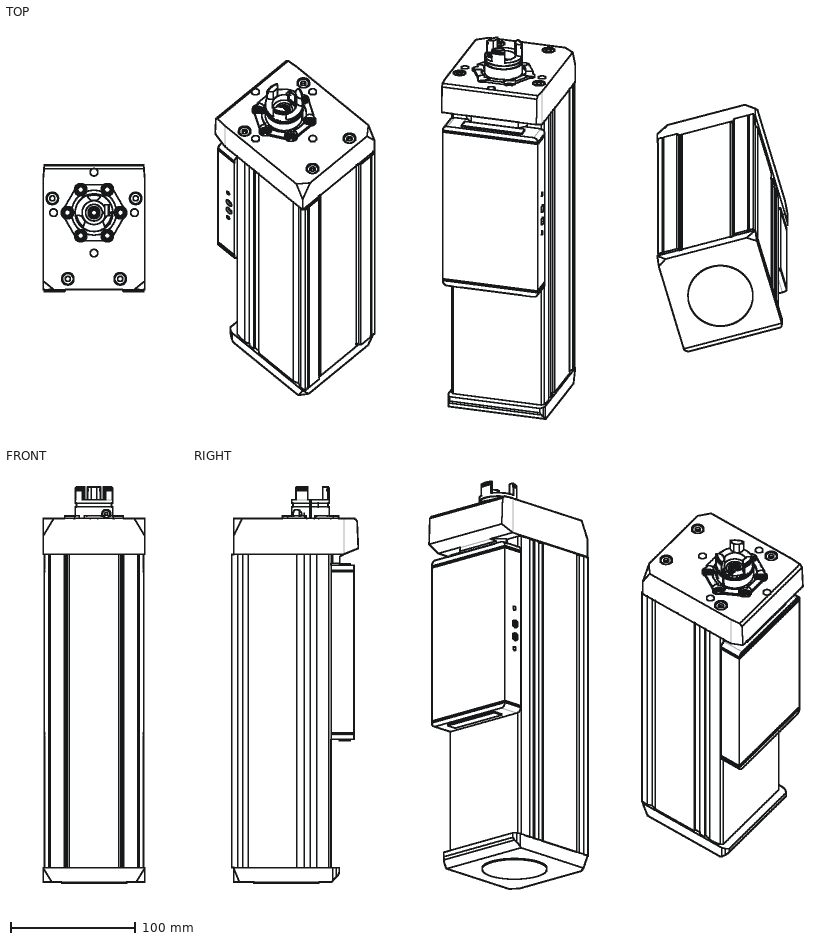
import cadquery as cq
import math


TOTAL_HEIGHT = 319.5
FOOT_PAD_HEIGHT = 1.0
PROFILE_BOTTOM = 12.8
PROFILE_TOP = 265.0
HEAD_TOP = 294.2

PROFILE_HALF_WIDTH = 40.0
PROFILE_FRONT = -63.5
PROFILE_BACK = 16.5
BACK_HALF_WIDTH = 37.0
BACK_CHAMFER = 2.0
SLOT_DEPTH = 1.5
SLOPED_SLOT = (5.0, -0.3)
SQUARE_SLOT = (-5.0, -11.0)
SIDE_GROOVE_START = -50.0
SIDE_GROOVE_BOTTOM = -54.5
SIDE_GROOVE_END = -58.5
FRONT_GROOVE_OUTER = 36.5
FRONT_GROOVE_INNER = 35.0
FRONT_SLOT_OUTER = 24.0
FRONT_SLOT_INNER = 20.0
FRONT_SLOT_DEPTH = 3.8
FRONT_SLOT_CHAMFER = 1.3

CAP_HALF_WIDTH = 82.0 / 2
CAP_FRONT = -62.0
HEAD_BACK = 38.5
HEAD_TAPER_START = 26.8
HEAD_TAPER = 1.0
HEAD_LIP_RISE = 4.8
HEAD_BACK_LEAN = 1.0
HEAD_BACK_CHAMFER = 2.2
HEAD_CORNER_CUT = (8.5, 7.0, 14.5)
FOOT_CORNER_CUT = (7.0, 4.8, 11.5)
FOOT_BACK = 23.3
FOOT_BACK_FLAT = 3.8
FOOT_BACK_STEP = 1.0
FOOT_BEVEL_TOP = 6.7
FOOT_BEVEL_END = 17.0
FOOT_CORNER_FACETS = [(0.0, 5.5), (1.0, 2.5), (3.0, 0.0)]
FOOT_PAD_DIAMETER = 52.5
FOOT_PAD_Y = -19.5
STOP_HALF_WIDTH = 25.5
STOP_BOTTOM = 257.8
STOP_BACK = 23.5
STOP_BEVEL = 2.0
STOP_CHAMFER = 5.7

DOWEL_HOLE_COUNT = 4
DOWEL_HOLE_CIRCLE = 32.5
DOWEL_HOLE_DIAMETER = 6.0
DOWEL_HOLE_DEPTH = 8.0
DRILL_POINT_ANGLE = 118.0
SCREW_RECESS_DIAMETER = 10.0
SCREW_RECESS_DEPTH = 5.0
SCREW_HEAD_DIAMETER = 8.5
SCREW_HEAD_HEIGHT = 4.5
SCREW_SHANK_DIAMETER = 5.0
SCREW_LENGTH = 19.2
SOCKET_DIAMETER = 4.0
SOCKET_DEPTH = 2.5
HEAD_SCREW_PLACES = [(-33.5, 11.5), (33.5, 11.5), (-21.0, -53.3), (21.0, -53.3)]

RIM_FLATS = 45.5
RIM_BORE_DIAMETER = 36.0
RIM_HEIGHT = 2.0
RIM_HOLE_COUNT = 6
RIM_HOLE_CIRCLE = 21.5
RIM_HOLE_STEPS = [(10.0, 2.5), (8.5, 3.5), (7.0, 4.8), (4.8, 7.0)]

HUB_DIAMETER = 30.5
HUB_TOP = 309.2
HUB_BORE_DIAMETER = 19.2
SHAFT_DIAMETER = 13.5
SHAFT_TOP = 301.8
SHAFT_HOLE_STEPS = [(9.5, 1.3), (7.0, 2.5), (4.5, 3.8)]
HUB_GROOVE_BOTTOM = 303.5
HUB_GROOVE_WIDTH = 3.0
CLAW_GROOVE_BOTTOM = 316.5
CLAW_GROOVE_WIDTH = 1.0
GROOVE_DEPTH = 1.0
CLAW_COUNT = 3
CLAW_INNER_HALF_WIDTH = 2.2
CLAW_INNER_Y = 10.0
CLAW_FLANK_MIDDLE = (4.0, 11.5)
CLAW_FLANK_END = (5.5, 13.7)
CLAW_CHAMFER = 1.0
CLAMP_SLIT_WIDTH = 1.0

CLAMP_X = 10.0
CLAMP_Z = 297.7
CLAMP_RECESS_DIAMETER = 7.0
CLAMP_HEAD_DIAMETER = 6.0
CLAMP_SHANK_DIAMETER = 3.2
CLAMP_SOCKET_DIAMETER = 2.45
CLAMP_SOCKET_DEPTH = 2.0
CLAMP_SEAT_Y = -5.0
CLAMP_HEAD_HEIGHT = 3.8
CLAMP_TIP_Y = 8.3
WINDOW_X = (8.5, 12.5)
WINDOW_Y = (-3.5, 6.5)

CARRIAGE_HALF_WIDTH = 40.2
CARRIAGE_BACK = 35.0
CARRIAGE_BOTTOM = 116.0
CARRIAGE_TOP = 256.5
CARRIAGE_END_LENGTH = 4.0
CARRIAGE_END_RADIUS = 3.8
CARRIAGE_GROOVE_WIDTH = 1.3
CARRIAGE_GROOVE_DEPTH = 0.5
TAB_FRONT = 23.3
TAB_BACK = 32.0
TAB_HEIGHT = 1.0
TAB_HALF_WIDTH = 25.5
LUBE_HOLE_Y = 22.7
LUBE_HOLE_Z = [189.0, 178.2]
LUBE_HOLE_DIAMETER = 6.0
LUBE_HOLE_DEPTH = 2.0
LUBE_CORE_DIAMETER = 3.2
LUBE_CORE_DEPTH = 6.5
SIDE_HOLE_Y = 23.5
SIDE_HOLE_Z = [202.2, 168.0]
SIDE_HOLE_DIAMETER = 3.2
SIDE_HOLE_DEPTH = 4.8


def block(x_range, y_range, z_range):
    """Box between two limits on each axis."""
    size = [high - low for low, high in (x_range, y_range, z_range)]
    corner = (x_range[0], y_range[0], z_range[0])
    return cq.Workplane("XY").box(*size, centered=False).translate(corner)


def disc(diameter, bottom, top, x=0.0, y=0.0):
    """Upright cylinder."""
    return cq.Workplane("XY", origin=(x, y, bottom)).circle(diameter / 2).extrude(top - bottom)


def y_disc(diameter, y_start, y_end, x, z):
    """Cylinder along Y."""
    plane = cq.Plane(origin=(x, y_start, z), xDir=(1, 0, 0), normal=(0, 1, 0))
    return cq.Workplane(plane).circle(diameter / 2).extrude(y_end - y_start)


def x_disc(diameter, x_start, x_end, y, z):
    """Cylinder along X."""
    return cq.Workplane("YZ", origin=(x_start, y, z)).circle(diameter / 2).extrude(x_end - x_start)


def polar_points(radius, count):
    """Points evenly spaced on a circle round the shaft axis, the first on +X."""
    angles = [math.radians(360 / count * i) for i in range(count)]
    return [(radius * math.cos(a), radius * math.sin(a)) for a in angles]


def corner_wedge(side, corner_z, legs, z_direction):
    """Tetrahedron that cuts a front corner of an end cap along a slanted plane."""
    leg_x, leg_y, leg_z = legs
    corner = cq.Vector(side * CAP_HALF_WIDTH, CAP_FRONT, corner_z)
    along_x = corner + cq.Vector(-side * leg_x, 0, 0)
    along_y = corner + cq.Vector(0, leg_y, 0)
    along_z = corner + cq.Vector(0, 0, z_direction * leg_z)
    triangles = [
        (corner, along_x, along_y),
        (corner, along_y, along_z),
        (corner, along_z, along_x),
        (along_x, along_y, along_z),
    ]
    faces = [cq.Face.makeFromWires(cq.Wire.makePolygon(t, close=True)) for t in triangles]
    return cq.Workplane(cq.Solid.makeSolid(cq.Shell.makeShell(faces)))


def make_profile():
    """Extruded profile with slots in both sides and in the front."""
    wide = PROFILE_HALF_WIDTH
    deep = wide - SLOT_DEPTH
    slot_floor = PROFILE_FRONT + FRONT_SLOT_DEPTH
    slot_wall_outer = FRONT_SLOT_OUTER - FRONT_SLOT_CHAMFER
    slot_wall_inner = FRONT_SLOT_INNER + FRONT_SLOT_CHAMFER
    chamfer_end = (BACK_HALF_WIDTH + BACK_CHAMFER, PROFILE_BACK - BACK_CHAMFER)
    half = (
        cq.Workplane("XY", origin=(0, 0, PROFILE_BOTTOM))
        .moveTo(0, CAP_FRONT)
        .lineTo(0, PROFILE_BACK)
        .lineTo(BACK_HALF_WIDTH, PROFILE_BACK)
        .lineTo(*chamfer_end)
    )
    drop = chamfer_end[1] - SLOPED_SLOT[0]
    inset = wide - chamfer_end[0]
    radius = (drop ** 2 + inset ** 2) / (2 * inset)
    half = half.radiusArc((wide, SLOPED_SLOT[0]), radius)
    half = (
        half.lineTo(deep, SLOPED_SLOT[1])
        .lineTo(wide, SLOPED_SLOT[1])
        .lineTo(wide, SQUARE_SLOT[0])
        .lineTo(deep, SQUARE_SLOT[0])
        .lineTo(deep, SQUARE_SLOT[1])
        .lineTo(wide, SQUARE_SLOT[1])
        .lineTo(wide, SIDE_GROOVE_START)
        .lineTo(deep, SIDE_GROOVE_BOTTOM)
        .lineTo(wide, SIDE_GROOVE_END)
        .lineTo(wide, PROFILE_FRONT)
        .lineTo(FRONT_GROOVE_OUTER, PROFILE_FRONT)
        .lineTo(FRONT_GROOVE_OUTER, CAP_FRONT)
        .lineTo(FRONT_GROOVE_INNER, CAP_FRONT)
        .lineTo(FRONT_GROOVE_INNER, PROFILE_FRONT)
        .lineTo(FRONT_SLOT_OUTER, PROFILE_FRONT)
        .lineTo(slot_wall_outer, PROFILE_FRONT + FRONT_SLOT_CHAMFER)
        .lineTo(slot_wall_outer, slot_floor)
        .lineTo(slot_wall_inner, slot_floor)
        .lineTo(slot_wall_inner, CAP_FRONT + FRONT_SLOT_CHAMFER)
        .lineTo(FRONT_SLOT_INNER, CAP_FRONT)
        .close()
        .extrude(PROFILE_TOP - PROFILE_BOTTOM)
    )
    return half.union(half.mirror("YZ"))


def make_rim():
    """Raised hexagonal rim on top of the head, open in the middle."""
    across_corners = RIM_FLATS / math.cos(math.pi / RIM_HOLE_COUNT)
    rim = cq.Workplane("XY", origin=(0, 0, HEAD_TOP)).polygon(RIM_HOLE_COUNT, across_corners)
    return rim.circle(RIM_BORE_DIAMETER / 2).extrude(RIM_HEIGHT)


def head_block():
    """Plain head, with its sides tapered at the back and its front corners cut."""
    top_back = HEAD_BACK - HEAD_BACK_LEAN
    side_outline = [
        (CAP_FRONT, PROFILE_TOP),
        (HEAD_TAPER_START, PROFILE_TOP),
        (HEAD_BACK, PROFILE_TOP + HEAD_LIP_RISE),
        (top_back, HEAD_TOP - HEAD_BACK_CHAMFER),
        (top_back - HEAD_BACK_CHAMFER, HEAD_TOP),
        (CAP_FRONT, HEAD_TOP),
    ]
    back_half_width = CAP_HALF_WIDTH - HEAD_TAPER
    plan_outline = [
        (-CAP_HALF_WIDTH, CAP_FRONT),
        (CAP_HALF_WIDTH, CAP_FRONT),
        (CAP_HALF_WIDTH, HEAD_TAPER_START),
        (back_half_width, HEAD_BACK),
        (-back_half_width, HEAD_BACK),
        (-CAP_HALF_WIDTH, HEAD_TAPER_START),
    ]
    body = cq.Workplane("YZ").polyline(side_outline).close().extrude(CAP_HALF_WIDTH, both=True)
    plan = cq.Workplane("XY").polyline(plan_outline).close().extrude(TOTAL_HEIGHT)
    body = body.intersect(plan)
    for side in (-1, 1):
        body = body.cut(corner_wedge(side, HEAD_TOP, HEAD_CORNER_CUT, -1))
    return body


def make_stop():
    """End stop under the head, behind the profile."""
    outline = [
        (PROFILE_BACK, PROFILE_TOP),
        (HEAD_TAPER_START, PROFILE_TOP),
        (STOP_BACK, PROFILE_TOP - STOP_BEVEL),
        (STOP_BACK, STOP_BOTTOM),
        (PROFILE_BACK, STOP_BOTTOM),
    ]
    stop = cq.Workplane("YZ").polyline(outline).close().extrude(STOP_HALF_WIDTH, both=True)
    width = (-STOP_HALF_WIDTH, STOP_HALF_WIDTH)
    plan = block(width, (PROFILE_BACK, HEAD_TAPER_START), (STOP_BOTTOM, PROFILE_TOP))
    bevel_run = HEAD_TAPER_START - STOP_BACK
    return stop.intersect(plan.edges("|Z and >Y").chamfer(STOP_CHAMFER + bevel_run))


def dowel_hole(x, y):
    """Drilled hole with a conical bottom."""
    radius = DOWEL_HOLE_DIAMETER / 2
    cone_top = HEAD_TOP - DOWEL_HOLE_DEPTH
    tip = cone_top - radius / math.tan(math.radians(DRILL_POINT_ANGLE / 2))
    section = cq.Workplane("XZ").polyline([(0, tip), (radius, cone_top), (radius, HEAD_TOP), (0, HEAD_TOP)])
    return section.close().revolve(360, (0, 0, 0), (0, 1, 0)).translate((x, y, 0))


def make_head():
    """Upper end cap with the end stop, the hexagonal rim and the shaft end."""
    head = head_block().union(make_stop()).union(make_rim())
    rim_top = HEAD_TOP + RIM_HEIGHT
    for x, y in polar_points(RIM_HOLE_CIRCLE, RIM_HOLE_COUNT):
        for diameter, depth in RIM_HOLE_STEPS:
            head = head.cut(disc(diameter, HEAD_TOP - depth, rim_top, x, y))
    for x, y in polar_points(DOWEL_HOLE_CIRCLE, DOWEL_HOLE_COUNT):
        head = head.cut(dowel_hole(x, y))
    for x, y in HEAD_SCREW_PLACES:
        seat = HEAD_TOP - SCREW_RECESS_DEPTH
        head = head.cut(disc(SCREW_RECESS_DIAMETER, seat, HEAD_TOP, x, y))
        head = head.cut(disc(SCREW_SHANK_DIAMETER, seat - SCREW_LENGTH, seat, x, y))
    shaft = disc(SHAFT_DIAMETER, HEAD_TOP, SHAFT_TOP)
    for diameter, depth in SHAFT_HOLE_STEPS:
        shaft = shaft.cut(disc(diameter, SHAFT_TOP - depth, SHAFT_TOP))
    return head.union(shaft)


def make_foot():
    """Lower end cap with a bevelled back edge, cut front corners and a round pad."""
    side_outline = [
        (CAP_FRONT, FOOT_PAD_HEIGHT),
        (FOOT_BEVEL_END, FOOT_PAD_HEIGHT),
        (FOOT_BACK - FOOT_BACK_STEP, FOOT_BEVEL_TOP),
        (FOOT_BACK, PROFILE_BOTTOM - FOOT_BACK_FLAT),
        (FOOT_BACK, PROFILE_BOTTOM),
        (CAP_FRONT, PROFILE_BOTTOM),
    ]
    foot = cq.Workplane("YZ").polyline(side_outline).close().extrude(CAP_HALF_WIDTH, both=True)
    right_corner = [(CAP_HALF_WIDTH - dx, FOOT_BACK - dy) for dx, dy in FOOT_CORNER_FACETS]
    left_corner = [(-x, y) for x, y in reversed(right_corner)]
    front_edge = [(-CAP_HALF_WIDTH, CAP_FRONT), (CAP_HALF_WIDTH, CAP_FRONT)]
    plan = cq.Workplane("XY").polyline(front_edge + right_corner + left_corner).close()
    foot = foot.intersect(plan.extrude(PROFILE_BOTTOM))
    for side in (-1, 1):
        foot = foot.cut(corner_wedge(side, FOOT_PAD_HEIGHT, FOOT_CORNER_CUT, 1))
    return foot.union(disc(FOOT_PAD_DIAMETER, 0, FOOT_PAD_HEIGHT, 0, FOOT_PAD_Y))


def make_head_screw(x, y):
    """Socket head screw sunk into the head."""
    seat = HEAD_TOP - SCREW_RECESS_DEPTH
    top = seat + SCREW_HEAD_HEIGHT
    screw = disc(SCREW_HEAD_DIAMETER, seat, top, x, y)
    screw = screw.union(disc(SCREW_SHANK_DIAMETER, seat - SCREW_LENGTH, seat, x, y))
    return screw.cut(disc(SOCKET_DIAMETER, top - SOCKET_DEPTH, top, x, y))


def make_claws():
    """Coupling claws with bulging flanks, evenly spaced on the hub."""
    ring = disc(HUB_DIAMETER, HUB_TOP, TOTAL_HEIGHT).faces(">Z").chamfer(CLAW_CHAMFER)
    middle_x, middle_y = CLAW_FLANK_MIDDLE
    end_x, end_y = CLAW_FLANK_END
    outline = (
        cq.Workplane("XY", origin=(0, 0, HUB_TOP))
        .moveTo(-CLAW_INNER_HALF_WIDTH, CLAW_INNER_Y)
        .lineTo(CLAW_INNER_HALF_WIDTH, CLAW_INNER_Y)
        .threePointArc((middle_x, middle_y), (end_x, end_y))
        .lineTo(end_x, HUB_DIAMETER)
        .lineTo(-end_x, HUB_DIAMETER)
        .lineTo(-end_x, end_y)
        .threePointArc((-middle_x, middle_y), (-CLAW_INNER_HALF_WIDTH, CLAW_INNER_Y))
        .close()
    )
    claw = ring.intersect(outline.extrude(TOTAL_HEIGHT - HUB_TOP))
    return [claw.rotate((0, 0, 0), (0, 0, 1), 360 / CLAW_COUNT * i) for i in range(CLAW_COUNT)]


def ring_groove(bottom, width):
    """Ring that cuts a groove into the outside of the hub."""
    outer = disc(HUB_DIAMETER, bottom, bottom + width)
    return outer.cut(disc(HUB_DIAMETER - 2 * GROOVE_DEPTH, bottom, bottom + width))


def make_hub():
    """Clamping coupling hub with three claws."""
    radius = HUB_DIAMETER / 2
    hub = disc(HUB_DIAMETER, HEAD_TOP, HUB_TOP)
    for claw in make_claws():
        hub = hub.union(claw)
    hub = hub.cut(disc(SHAFT_DIAMETER, HEAD_TOP, HUB_TOP))
    hub = hub.cut(disc(HUB_BORE_DIAMETER, SHAFT_TOP, HUB_TOP))
    hub = hub.cut(ring_groove(HUB_GROOVE_BOTTOM, HUB_GROOVE_WIDTH))
    hub = hub.cut(ring_groove(CLAW_GROOVE_BOTTOM, CLAW_GROOVE_WIDTH))
    half_slit = CLAMP_SLIT_WIDTH / 2
    hub = hub.cut(block((0, radius), (-half_slit, half_slit), (HEAD_TOP, HUB_TOP)))
    hub = hub.cut(y_disc(CLAMP_RECESS_DIAMETER, -radius, CLAMP_SEAT_Y, CLAMP_X, CLAMP_Z))
    hub = hub.cut(y_disc(CLAMP_SHANK_DIAMETER, CLAMP_SEAT_Y, CLAMP_TIP_Y, CLAMP_X, CLAMP_Z))
    return hub.cut(block(WINDOW_X, WINDOW_Y, (CLAMP_Z, HUB_TOP)))


def make_clamp_screw():
    """Socket head screw that closes the hub slit."""
    head_end = CLAMP_SEAT_Y - CLAMP_HEAD_HEIGHT
    screw = y_disc(CLAMP_HEAD_DIAMETER, head_end, CLAMP_SEAT_Y, CLAMP_X, CLAMP_Z)
    screw = screw.union(y_disc(CLAMP_SHANK_DIAMETER, CLAMP_SEAT_Y, CLAMP_TIP_Y, CLAMP_X, CLAMP_Z))
    socket_end = head_end + CLAMP_SOCKET_DEPTH
    return screw.cut(y_disc(CLAMP_SOCKET_DIAMETER, head_end, socket_end, CLAMP_X, CLAMP_Z))


def make_carriage():
    """Carriage block with rounded ends, end tabs and holes in the -X side."""
    side = -CARRIAGE_HALF_WIDTH
    wide = (side, CARRIAGE_HALF_WIDTH)
    deep = (PROFILE_BACK, CARRIAGE_BACK)
    carriage = block(wide, deep, (CARRIAGE_BOTTOM, CARRIAGE_TOP))
    carriage = carriage.edges("|Y").fillet(CARRIAGE_END_RADIUS)

    inner_wide = (side + CARRIAGE_GROOVE_DEPTH, CARRIAGE_HALF_WIDTH - CARRIAGE_GROOVE_DEPTH)
    inner_deep = (PROFILE_BACK, CARRIAGE_BACK - CARRIAGE_GROOVE_DEPTH)
    lower_groove = CARRIAGE_BOTTOM + CARRIAGE_END_LENGTH
    upper_groove = CARRIAGE_TOP - CARRIAGE_END_LENGTH - CARRIAGE_GROOVE_WIDTH
    for bottom in (lower_groove, upper_groove):
        height = (bottom, bottom + CARRIAGE_GROOVE_WIDTH)
        groove = block(wide, deep, height).cut(block(inner_wide, inner_deep, height))
        carriage = carriage.cut(groove)

    tab_wide = (-TAB_HALF_WIDTH, TAB_HALF_WIDTH)
    for bottom in (CARRIAGE_BOTTOM - TAB_HEIGHT, CARRIAGE_TOP):
        tab = block(tab_wide, (TAB_FRONT, TAB_BACK), (bottom, bottom + TAB_HEIGHT))
        carriage = carriage.union(tab)

    for z in LUBE_HOLE_Z:
        carriage = carriage.cut(x_disc(LUBE_HOLE_DIAMETER, side, side + LUBE_HOLE_DEPTH, LUBE_HOLE_Y, z))
        carriage = carriage.cut(x_disc(LUBE_CORE_DIAMETER, side, side + LUBE_CORE_DEPTH, LUBE_HOLE_Y, z))
    for z in SIDE_HOLE_Z:
        carriage = carriage.cut(x_disc(SIDE_HOLE_DIAMETER, side, side + SIDE_HOLE_DEPTH, SIDE_HOLE_Y, z))
    return carriage


profile = make_profile()
head = make_head()
foot = make_foot()
carriage = make_carriage()
hub = make_hub()
clamp_screw = make_clamp_screw()
head_screws = [make_head_screw(x, y) for x, y in HEAD_SCREW_PLACES]

bodies = [profile, head, foot, carriage, hub, clamp_screw, *head_screws]
result = cq.Compound.makeCompound([body.solids().val() for body in bodies])